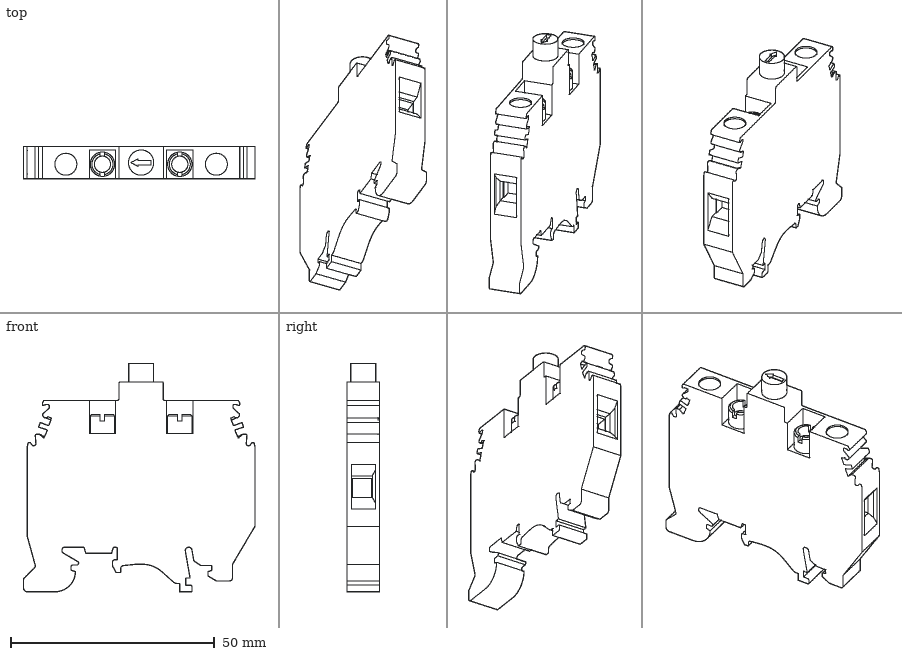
import cadquery as cq
import math

overall_length = 56.9
thickness = 8.0
half_width = 28.0
foot_tip_x = half_width - overall_length
shoulder_z = 47.05
tower_half_width = 5.45
tower_z = 51.6
seam_z = 16.1
front_y = -thickness / 2
back_y = thickness / 2
web_thickness = 0.35

knob_diameter = 6.2
knob_top_z = 56.15
arrow_tip_x = -2.5
arrow_neck_x = -0.8
arrow_end_x = 2.45
arrow_head_half = 0.9
arrow_shaft_half = 0.55
arrow_depth = 0.85

contact_y = -0.4
screw_x = 9.5
pocket_width = 6.45
pocket_floor_z = 38.9
pocket_back_y = 3.15
screw_diameter = 6.0
screw_top_z = 43.65
screw_chamfer = 0.4
socket_diameter = 4
socket_depth = 2.85
slot_width = 1.15
slot_depth = 1.7

marker_x = 18.5
marker_diameter = 5.4
marker_depth = 0.45

entry_z = 25.9
mouth_height = 10.9
mouth_front_y = -2.85
mouth_back_y = 2.95
straight_depth = 1.15
funnel_depth = 2.15
throat_height = 5.3
throat_back_y = 2.2
throat_depth = 2.0
clamp_height = 4.65
clamp_inset = 0.2
clamp_depth = 2.85


def rounded_prism(corners, y_start, y_end):
    """Extrude along Y an XZ outline of (x, z, radius) corners joined by tangent arcs."""
    wire = None
    for i, (x, z, radius) in enumerate(corners):
        last_x, last_z, _ = corners[i - 1]
        next_x, next_z, _ = corners[(i + 1) % len(corners)]
        back = cq.Vector(last_x - x, last_z - z).normalized()
        ahead = cq.Vector(next_x - x, next_z - z).normalized()
        half_angle = back.getAngle(ahead) / 2
        tangent = radius / math.tan(half_angle)
        corner = cq.Vector(x, z)
        start = corner + back * tangent
        if wire is None:
            wire = cq.Workplane("XZ", origin=(0, y_start, 0)).moveTo(start.x, start.y)
        else:
            wire = wire.lineTo(start.x, start.y)
        if radius > 0:
            to_middle = radius / math.sin(half_angle) - radius
            middle = corner + (back + ahead).normalized() * to_middle
            end = corner + ahead * tangent
            wire = wire.threePointArc((middle.x, middle.y), (end.x, end.y))
    return wire.close().extrude(y_start - y_end)


def box_between(x_range, y_range, z_range):
    """Box spanning the given (low, high) ranges."""
    size = [high - low for low, high in (x_range, y_range, z_range)]
    corner = (x_range[0], y_range[0], z_range[0])
    return cq.Workplane("XY").box(*size, centered=False).translate(corner)


def both_sides(right_half):
    """Join a shape with its mirror image across X = 0."""
    return right_half.union(right_half.mirror("YZ"))


def upper_body():
    """Symmetric top with the tower and the toothed marking edges."""
    right_corners = [
        (0, seam_z, 0),
        (0, tower_z, 0),
        (tower_half_width, tower_z, 0.35),
        (tower_half_width, shoulder_z, 0.35),
        (23.9, shoulder_z, 0.3),
        (24.3, 46.4, 0.2),
        (24.2, 45.65, 0.2),
        (23.5, 46.0, 0.15),
        (22.6, 46.05, 0.3),
        (22.6, 45.2, 0.35),
        (24.4, 43.55, 0.5),
        (23.7, 42.75, 0.4),
        (23.15, 42.75, 0),
        (22.9, 43.1, 0),
        (22.0, 42.7, 0),
        (22.7, 40.85, 0.15),
        (24.8, 41.65, 0.15),
        (25.2, 40.45, 0.15),
        (23.05, 39.8, 0.15),
        (23.9, 37.8, 0),
        (25.0, 38.75, 0),
        (26.05, 38.75, 0.4),
        (25.85, 35.95, 0.45),
        (26.7, 35.95, 0.3),
        (27.25, 36.75, 0.15),
        (27.75, 36.65, 0.2),
        (half_width, 35.75, 0),
        (half_width, seam_z, 0),
    ]
    first_web = [
        (22.0, 42.15, 0),
        (23.2, 42.6, 0),
        (23.3, 42.9, 0),
        (22.9, 43.25, 0),
        (21.85, 42.8, 0),
    ]
    second_web = [
        (23.5, 38.3, 0),
        (24.1, 38.3, 0),
        (24.65, 38.65, 0),
        (25.0, 38.75, 0),
        (25.0, 38.1, 0),
        (23.9, 37.55, 0),
    ]
    right_half = rounded_prism(right_corners, back_y, front_y)
    for web in (first_web, second_web):
        right_half = right_half.union(rounded_prism(web, back_y, back_y - web_thickness))
    return both_sides(right_half)


def rail_foot():
    """Lower body with the hook, the sprung latch and the recess for the mounting rail."""
    corners = [
        (half_width, seam_z, 0),
        (22.5, 6.75, 0),
        (22.5, 2.7, 0.75),
        (18.5, 2.7, 0),
        (16.4, 3.9, 0.15),
        (16.4, 5.0, 0.15),
        (17.35, 5.3, 0),
        (17.35, 6.45, 0),
        (14.7, 6.45, 0.85),
        (12.9, 7.6, 0.45),
        (12.35, 10.9, 0.7),
        (10.8, 10.9, 0.7),
        (11.0, 9.5, 0),
        (12.05, 3.4, 0),
        (11.0, 3.4, 0),
        (11.0, 1.65, 0),
        (12.5, 1.65, 0.4),
        (12.5, 0, 0.3),
        (9.45, 0, 0),
        (9.45, 2.05, 0),
        (8.3, 2.05, 1.4),
        (3.1, 6.75, 7.4),
        (-1.15, 6.75, 5.7),
        (-4.95, 6.4, 0.55),
        (-4.95, 4.7, 0.3),
        (-6.15, 4.7, 0.2),
        (-7.05, 6.4, 1.15),
        (-7.05, 7.9, 0.55),
        (-5.85, 7.9, 0),
        (-5.85, 10.9, 0.3),
        (-6.8, 10.9, 0.3),
        (-7.2, 9.45, 0),
        (-13.6, 9.45, 0),
        (-14.05, 10.9, 0),
        (-19.4, 10.9, 0.55),
        (-19.4, 9.75, 0.45),
        (-15.15, 7.2, 0.4),
        (-15.6, 6.6, 0),
        (-17.2, 6.6, 0.4),
        (-17.2, 5.35, 0.3),
        (-16.1, 5.0, 0),
        (-16.4, 0, 5.05),
        (foot_tip_x, 0, 0.95),
        (foot_tip_x, 3.25, 0.5),
        (-25.95, 6.2, 0.8),
        (-half_width, 13.65, 0),
        (-half_width, seam_z, 0),
    ]
    return rounded_prism(corners, back_y, front_y)


def knob():
    """Round knob standing on the tower, with the arrow sunk in its top."""
    height = knob_top_z - tower_z
    post = cq.Workplane("XY", origin=(0, 0, tower_z)).circle(knob_diameter / 2).extrude(height)
    arrow = (
        cq.Workplane("XY", origin=(0, 0, knob_top_z))
        .polyline([
            (arrow_tip_x, 0),
            (arrow_neck_x, arrow_head_half),
            (arrow_neck_x, arrow_shaft_half),
            (arrow_end_x, arrow_shaft_half),
            (arrow_end_x, -arrow_shaft_half),
            (arrow_neck_x, -arrow_shaft_half),
            (arrow_neck_x, -arrow_head_half),
        ])
        .close()
        .extrude(-arrow_depth)
    )
    return post.cut(arrow)


def screw_pocket():
    """Right-hand screw pocket."""
    x_range = (screw_x - pocket_width / 2, screw_x + pocket_width / 2)
    return box_between(x_range, (front_y, pocket_back_y), (pocket_floor_z, shoulder_z))


def screw():
    """Right-hand screw head with a chamfered rim, a round socket and a slot along Y."""
    head = (
        cq.Workplane("XY", origin=(screw_x, contact_y, pocket_floor_z))
        .circle(screw_diameter / 2)
        .extrude(screw_top_z - pocket_floor_z)
        .faces(">Z")
        .chamfer(screw_chamfer)
    )
    top = cq.Workplane("XY", origin=(screw_x, contact_y, screw_top_z))
    socket = top.circle(socket_diameter / 2).extrude(-socket_depth)
    slot = top.rect(slot_width, screw_diameter).extrude(-slot_depth)
    return head.cut(socket).cut(slot)


def marker_recess():
    """Right-hand shallow marker recess."""
    plane = cq.Workplane("XY", origin=(marker_x, contact_y, shoulder_z))
    return plane.circle(marker_diameter / 2).extrude(-marker_depth)


def wire_entry():
    """Right-hand wire entry: a funnel, then a straight throat, then a narrower clamp opening."""
    throat_x = half_width - funnel_depth
    clamp_x = throat_x - throat_depth
    half_mouth = mouth_height / 2
    half_throat = throat_height / 2
    throat_floor_z = entry_z - half_throat

    wedge = (
        cq.Workplane("XZ", origin=(0, mouth_back_y, entry_z))
        .polyline([
            (half_width, half_mouth),
            (throat_x, half_throat),
            (throat_x, -half_throat),
            (half_width, -half_mouth),
        ])
        .close()
        .extrude(mouth_back_y - mouth_front_y)
    )
    narrowing = (
        cq.Workplane("XY", origin=(0, 0, entry_z - half_mouth))
        .polyline([
            (half_width, mouth_front_y),
            (half_width, mouth_back_y),
            (half_width - straight_depth, mouth_back_y),
            (throat_x, throat_back_y),
            (throat_x, mouth_front_y),
        ])
        .close()
        .extrude(mouth_height)
    )
    throat = box_between(
        (clamp_x, throat_x),
        (mouth_front_y, throat_back_y),
        (throat_floor_z, throat_floor_z + throat_height),
    )
    clamp = box_between(
        (clamp_x - clamp_depth, clamp_x),
        (mouth_front_y + clamp_inset, throat_back_y - clamp_inset),
        (throat_floor_z, throat_floor_z + clamp_height),
    )
    return wedge.intersect(narrowing).union(throat).union(clamp)


housing = upper_body().union(rail_foot()).clean()
for right_cut in (screw_pocket(), marker_recess(), wire_entry()):
    housing = housing.cut(both_sides(right_cut))

result = housing.union(both_sides(screw())).union(knob())